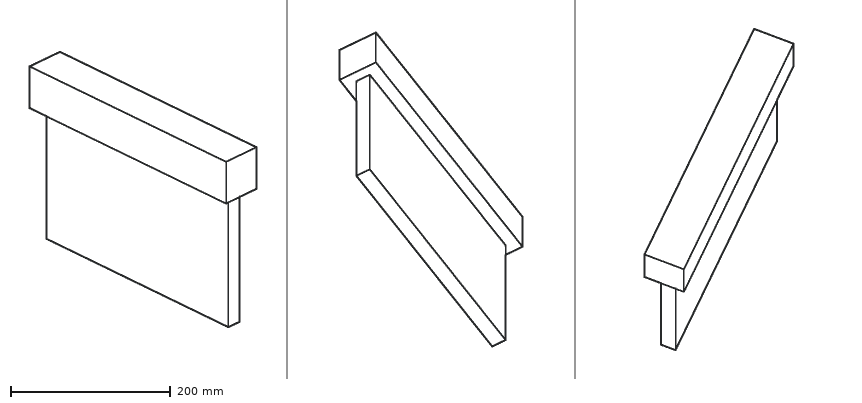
import cadquery as cq

total_height = 249.0

head_length = 350.0
head_depth = 54.0
head_height = 60.0

panel_length = 324.0
panel_thickness = 20.0
panel_height = total_height - head_height

panel = cq.Workplane("XY").box(
    panel_length, panel_thickness, panel_height, centered=(True, True, False)
)
head = (
    cq.Workplane("XY")
    .box(head_length, head_depth, head_height, centered=(True, True, False))
    .translate((0, 0, panel_height))
)

result = panel.union(head)